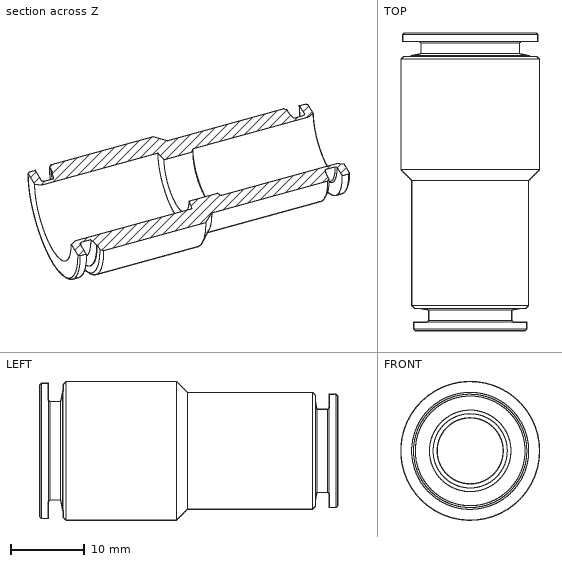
import cadquery as cq

TOTAL_LENGTH = 40.75
SMALL_END_Y = -TOTAL_LENGTH / 2
LARGE_END_Y = TOTAL_LENGTH / 2

SMALL_BODY_RADIUS = 16.0 / 2
LARGE_BODY_RADIUS = 19.0 / 2
SMALL_BODY_INSET = 3.05
LARGE_BODY_INSET = 3.22
BODY_END_CHAMFER = 0.4
SHOULDER_INSET = 18.7

SMALL_LIP_HEIGHT = 0.2
LARGE_LIP_HEIGHT = 0.37
LARGE_LIP_RIM = 0.08
SMALL_LIP_BASE_RADIUS = 13.5 / 2
LARGE_LIP_BASE_RADIUS = 16.25 / 2

SMALL_NECK_RADIUS = 11.4 / 2
LARGE_NECK_RADIUS = 13.5 / 2
SMALL_FLANGE_RADIUS = 15.5 / 2
LARGE_FLANGE_RADIUS = 18.5 / 2
FLANGE_THICKNESS = 1.2
FLANGE_CHAMFER = 0.25
NECK_ROOT_CHAMFER = 0.2

THROUGH_BORE_RADIUS = 9.0 / 2
SMALL_SOCKET_RADIUS = 10.15 / 2
LARGE_SOCKET_RADIUS = 12.15 / 2
SOCKET_DEPTH = 18.0
SOCKET_FLOOR_RISE = 0.25
LEAD_IN_WIDTH = 0.45
LEAD_IN_DEPTH = 0.75
THROAT_WIDTH = 0.05
THROAT_LENGTH = 0.2


def revolve_profile(points):
    """Revolve a closed (radius, y) outline about the Y axis."""
    return cq.Workplane("XY").polyline(points).close().revolve(360, (0, 0, 0), (0, 1, 0))


def end_outline(end_y, inward, body, body_inset, lip_points, neck, flange):
    """Outer (radius, y) points of one end, from the end face inward to the body.

    lip_points lists the lip as (radius, rise above the body end face), neck first.
    """
    flange_back = end_y + inward * FLANGE_THICKNESS
    body_end = end_y + inward * body_inset
    lip = [(radius, body_end - inward * rise) for radius, rise in lip_points]
    flange_and_neck = [
        (flange - FLANGE_CHAMFER, end_y),
        (flange, end_y + inward * FLANGE_CHAMFER),
        (flange, flange_back),
        (neck + NECK_ROOT_CHAMFER, flange_back),
        (neck, flange_back + inward * NECK_ROOT_CHAMFER),
    ]
    body_edge = [
        (body - BODY_END_CHAMFER, body_end),
        (body, body_end + inward * BODY_END_CHAMFER),
    ]
    return flange_and_neck + lip + body_edge


def make_outside():
    small_lip = [
        (SMALL_NECK_RADIUS, SMALL_LIP_HEIGHT),
        (SMALL_LIP_BASE_RADIUS, 0),
    ]
    large_lip = [
        (LARGE_NECK_RADIUS, LARGE_LIP_HEIGHT),
        (LARGE_LIP_BASE_RADIUS, LARGE_LIP_RIM),
        (LARGE_LIP_BASE_RADIUS, 0),
    ]
    small_end = end_outline(
        SMALL_END_Y, 1, SMALL_BODY_RADIUS, SMALL_BODY_INSET,
        small_lip, SMALL_NECK_RADIUS, SMALL_FLANGE_RADIUS,
    )
    large_end = end_outline(
        LARGE_END_Y, -1, LARGE_BODY_RADIUS, LARGE_BODY_INSET,
        large_lip, LARGE_NECK_RADIUS, LARGE_FLANGE_RADIUS,
    )
    shoulder_y = LARGE_END_Y - SHOULDER_INSET
    shoulder_length = LARGE_BODY_RADIUS - SMALL_BODY_RADIUS
    shoulder = [
        (SMALL_BODY_RADIUS, shoulder_y - shoulder_length),
        (LARGE_BODY_RADIUS, shoulder_y),
    ]
    axis_start = [(0, SMALL_END_Y)]
    axis_end = [(0, LARGE_END_Y)]
    return revolve_profile(axis_start + small_end + shoulder + large_end[::-1] + axis_end)


def socket_outline(end_y, inward, socket):
    """Bore (radius, y) points of one end, from the end face inward to the through bore."""
    lead_in_end = end_y + inward * LEAD_IN_DEPTH
    throat = socket + THROAT_WIDTH
    floor_y = end_y + inward * SOCKET_DEPTH
    return [
        (throat + LEAD_IN_WIDTH, end_y),
        (throat, lead_in_end),
        (socket, lead_in_end + inward * THROAT_LENGTH),
        (socket, floor_y),
        (THROUGH_BORE_RADIUS, floor_y + inward * SOCKET_FLOOR_RISE),
    ]


def make_bore():
    small_socket = socket_outline(SMALL_END_Y, 1, SMALL_SOCKET_RADIUS)
    large_socket = socket_outline(LARGE_END_Y, -1, LARGE_SOCKET_RADIUS)
    axis_start = [(0, SMALL_END_Y)]
    axis_end = [(0, LARGE_END_Y)]
    return revolve_profile(axis_start + small_socket + large_socket[::-1] + axis_end)


result = make_outside().cut(make_bore())